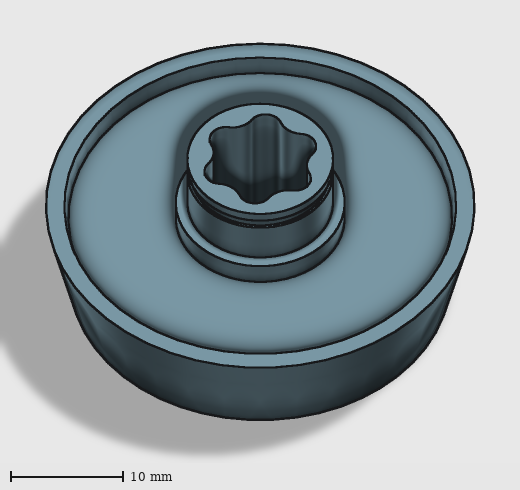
import cadquery as cq
import math

rim_radius = 19.05
base_radius = 16.95
rim_height = 9.5
recess_rim_radius = 17.4
recess_depth = 1.68
floor_height = rim_height - recess_depth
wall_slope = (rim_radius - base_radius) / rim_height
recess_floor_radius = recess_rim_radius - recess_depth * wall_slope

total_height = 15.88
collar_radius = 15.0 / 2
collar_top = 9.97
stem_radius = 12.95 / 2
groove_radius = 12.4 / 2
groove_bottom = 14.0
groove_top = 14.95

lobe_count = 6
lobe_tip_radius = 5.25
lobe_radius = 1.45
valley_radius = 4.2
lobe_center_radius = lobe_tip_radius - lobe_radius


def polar(radius, angle):
    return (radius * math.cos(angle), radius * math.sin(angle))


def make_body():
    """Dish and stem, revolved from one half section about Z."""
    half_section = [
        (0, 0),
        (base_radius, 0),
        (rim_radius, rim_height),
        (recess_rim_radius, rim_height),
        (recess_floor_radius, floor_height),
        (collar_radius, floor_height),
        (collar_radius, collar_top),
        (stem_radius, collar_top),
        (stem_radius, groove_bottom),
        (groove_radius, groove_bottom),
        (groove_radius, groove_top),
        (stem_radius, groove_top),
        (stem_radius, total_height),
        (0, total_height),
    ]
    return cq.Workplane("XZ").polyline(half_section).close().revolve(360, (0, 0), (0, 1))


def make_socket():
    """Through socket of lobes joined by tangent arcs bulging toward the axis."""
    pitch = 2 * math.pi / lobe_count
    half_pitch = pitch / 2

    reach = valley_radius - lobe_radius
    valley_center_radius = (lobe_center_radius**2 - reach**2) / (
        2 * (lobe_center_radius * math.cos(half_pitch) - reach)
    )
    valley_arc_radius = valley_center_radius - valley_radius

    valley_x, valley_y = polar(valley_center_radius, half_pitch)
    share = lobe_radius / (lobe_radius + valley_arc_radius)
    tangent_x = lobe_center_radius + share * (valley_x - lobe_center_radius)
    tangent_y = share * valley_y
    tangent_radius = math.hypot(tangent_x, tangent_y)
    tangent_angle = math.atan2(tangent_y, tangent_x)

    outline = cq.Workplane("XY").moveTo(*polar(tangent_radius, -tangent_angle))
    for index in range(lobe_count):
        angle = index * pitch
        outline = outline.threePointArc(
            polar(lobe_tip_radius, angle),
            polar(tangent_radius, angle + tangent_angle),
        )
        outline = outline.threePointArc(
            polar(valley_radius, angle + half_pitch),
            polar(tangent_radius, angle + pitch - tangent_angle),
        )
    return outline.close().extrude(total_height)


result = make_body().cut(make_socket())